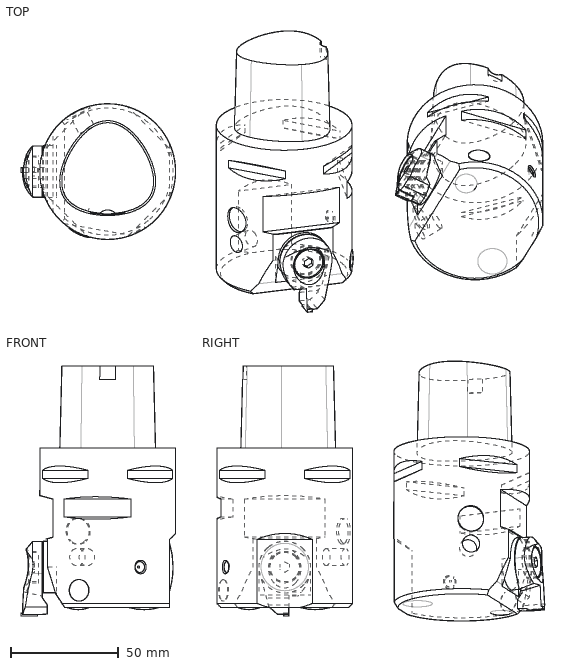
import cadquery as cq
import math


overcut = 1.0

body_dia = 63.0
body_radius = body_dia / 2
body_length = 74.05
bottom_chamfer = 2.0

shank_length = 38.0
shank_mean_radius = 22.0
shank_lobe = 1.6
shank_taper = 1 / 40
shank_sides = 6
notch_dia = 10.0
notch_centre_y = -22.8
notch_height = 6.3

groove_depth = 3.7
groove_floor_height = 3.75
groove_flank_rise = 2.0
groove_z = -12.25
groove_angles = (45, 135, 225, 315)

flat_wall_angle = 15.0
label_direction = 260.0
label_distance = 27.25
label_top = -23.75
label_bottom = -31.9
relief_distance = 25.4
relief_top = -23.75
relief_bottom = -41.35

tool_z = -55.2
seat_distance = 27.9
seat_top = -42.2
slope_start_z = tool_z
slope_end_x = -24.07
slope_end_z = -67.6
bevel_end_x = -19.9
seat_slot_x = -23.75
boss_dia = 24.0
boss_face_x = -29.85

dial_flat_x = 28.75
dial_ramp_z = -42.4
dial_dia = 22.0
dial_rise = 1.6

side_plug_dia = 10.0
side_plug_rise = 0.6
side_plug_direction = 245.0
side_plug_z = -66.0
side_hole_dia = 8.0
side_hole_depth = 10.0
side_hole_z = -50.6
cover_dia = 12.0
cover_depth = 1.6
cover_rise = 1.3
cover_z = -38.6
side_hole_direction = 116.7
screw_hole_dia = 6.25
screw_hole_bore_dia = 5.01
screw_hole_chamfer_depth = 0.65
screw_hole_bore_depth = 0.8
screw_hole_tip_dia = 1.0
screw_hole_depth = 1.9
screw_hole_direction = 299.0
screw_hole_z = tool_z
bottom_plug_rise = 0.95
bottom_plugs = (
    (-13.7, -16.6, 10.0),
    (16.8, 14.1, 13.6),
)

lever_dia = 23.84
lever_radius = lever_dia / 2
lever_gap = 0.35
lever_back_x = boss_face_x - lever_gap
lever_side_angle = 15.0
heel_radius = 18.1
heel_bottom_z = -68.7
heel_front_z = -66.9
heel_front_x = -38.0
edge_y = 1.86
lever_bottom_z = -77.2
lever_corner_y = -7.35
lever_corner_z = -73.6
lever_toe_y = -3.3
nose_radius = 22.0
nose_stations = (
    (-38.0, -40.0),
    (-38.0, -47.0),
    (-38.1, -54.0),
    (-38.8, -63.0),
    (-39.4, -73.0),
    (-39.6, -79.0),
)
crown_edge_x = -34.8
crown_face_x = -41.0
crown_slope = 40.0
foot_back_x = -27.9
foot_start_z = -69.5
foot_full_z = -72.8
clearance_angle = 5.0
overall_x = 71.73
overall_z = 116.0
tip_x = body_radius - overall_x
tip_inner_x = -32.5
tip_width = 2.4
tip_height = 1.4
tip_bottom_z = shank_length - overall_z
socket_dia = 14.6
socket_floor_x = -32.0
socket_flare_x = -36.6

screw_head_dia = 13.6
screw_face_x = -36.4
hex_flats = 4.2
hex_depth = 2.5


def box(x_range, y_range, z_range):
    """Box between two limits along each axis."""
    (x0, x1), (y0, y1), (z0, z1) = x_range, y_range, z_range
    return cq.Workplane("XY").box(x1 - x0, y1 - y0, z1 - z0, centered=False).translate((x0, y0, z0))


def radial(solid, direction, distance, z):
    """Turn a solid built along +Z so that it points away from the head axis, and place it."""
    return (
        solid.rotate((0, 0, 0), (0, 1, 0), 90)
        .translate((distance, 0, z))
        .rotate((0, 0, 0), (0, 0, 1), direction)
    )


def dome(diameter, rise):
    """Spherical cap standing on Z = 0."""
    radius = diameter / 2
    sphere_radius = (radius**2 + rise**2) / (2 * rise)
    sphere = cq.Workplane("XY").sphere(sphere_radius).translate((0, 0, rise - sphere_radius))
    return sphere.intersect(cq.Workplane("XY").circle(2 * sphere_radius).extrude(2 * rise))


def shank_wire(mean_radius, z):
    """Three-lobed shank outline with one lobe toward +Y, made of equal spans."""
    span = 2 * math.pi / shank_sides

    def point(t):
        x = mean_radius * math.cos(t) - shank_lobe * math.sin(2 * t)
        y = mean_radius * math.sin(t) - shank_lobe * math.cos(2 * t)
        return (x, y, z)

    edges = []
    for side in range(shank_sides):
        curve = cq.Workplane("XY").parametricCurve(point, start=side * span, stop=(side + 1) * span)
        edges.extend(curve.val().Edges())
    return cq.Wire.assembleEdges(edges)


def make_shank():
    bottom = shank_wire(shank_mean_radius, 0)
    top = shank_wire(shank_mean_radius - shank_taper * shank_length, shank_length)
    shank = cq.Workplane(cq.Solid.makeLoft([bottom, top], True))
    notch = (
        cq.Workplane("XY", origin=(0, notch_centre_y, shank_length - notch_height))
        .circle(notch_dia / 2)
        .extrude(2 * notch_height)
    )
    return shank.cut(notch)


def flared_cut(distance, z_bottom, z_top, flank_rise_per_depth, direction):
    """Straight cut across the body side: flat floor, walls flaring outward."""
    outer = body_radius + overcut
    flare = (outer - distance) * flank_rise_per_depth
    return (
        cq.Workplane("XZ")
        .moveTo(distance, z_bottom)
        .lineTo(outer, z_bottom - flare)
        .lineTo(outer, z_top + flare)
        .lineTo(distance, z_top)
        .close()
        .extrude(body_radius, both=True)
        .rotate((0, 0, 0), (0, 0, 1), direction)
    )


def gripper_grooves():
    half = groove_floor_height / 2
    flank = groove_flank_rise / groove_depth
    distance = body_radius - groove_depth
    return [flared_cut(distance, groove_z - half, groove_z + half, flank, a) for a in groove_angles]


def seat_cut():
    """Flat for the tool, followed by two slopes that run out at the bottom."""
    outer = -body_radius - overcut
    return (
        cq.Workplane("XZ")
        .moveTo(outer, seat_top)
        .lineTo(-seat_distance, seat_top)
        .lineTo(-seat_distance, slope_start_z)
        .lineTo(slope_end_x, slope_end_z)
        .lineTo(bevel_end_x, -body_length)
        .lineTo(outer, -body_length)
        .close()
        .extrude(body_radius, both=True)
    )


def dial_cut():
    """Flat on the +X side, reached by a 45 degree ramp."""
    outer = body_radius + overcut
    return (
        cq.Workplane("XZ")
        .moveTo(dial_flat_x, -body_length)
        .lineTo(outer, -body_length)
        .lineTo(outer, dial_ramp_z + outer - dial_flat_x)
        .lineTo(dial_flat_x, dial_ramp_z)
        .close()
        .extrude(body_radius, both=True)
    )


def screw_hole():
    """Chamfered hole with a conical end, opening along +Z at Z = 0."""
    mouth = screw_hole_dia / 2
    bore = screw_hole_bore_dia / 2
    return (
        cq.Workplane("XZ")
        .moveTo(0, overcut)
        .lineTo(mouth, overcut)
        .lineTo(mouth, -screw_hole_chamfer_depth + mouth - bore)
        .lineTo(bore, -screw_hole_chamfer_depth)
        .lineTo(bore, -screw_hole_bore_depth)
        .lineTo(screw_hole_tip_dia / 2, -screw_hole_depth)
        .lineTo(0, -screw_hole_depth)
        .close()
        .revolve(360, (0, 0, 0), (0, 1, 0))
    )


def round_cut(diameter, depth):
    """Cylinder reaching below Z = 0 by its depth, and just past it above."""
    return cq.Workplane("XY").workplane(offset=-depth).circle(diameter / 2).extrude(depth + overcut)


def side_plug():
    """Domed plug: its cylindrical stem reaches down past the curved body surface."""
    radius = side_plug_dia / 2
    stem = body_radius - math.sqrt(body_radius**2 - radius**2)
    return dome(side_plug_dia, side_plug_rise).union(cq.Workplane("XY").circle(radius).extrude(-2 * stem))


def make_holder():
    flank = math.tan(math.radians(flat_wall_angle))
    holder = (
        cq.Workplane("XY")
        .circle(body_radius)
        .extrude(-body_length)
        .faces("<Z")
        .chamfer(bottom_chamfer)
    )
    cuts = gripper_grooves() + [
        flared_cut(label_distance, label_bottom, label_top, flank, label_direction),
        flared_cut(relief_distance, relief_bottom, relief_top, flank, 180),
        seat_cut(),
        dial_cut(),
        box((-body_radius, seat_slot_x), (-boss_dia / 2, boss_dia / 2), (-body_length, tool_z)),
        radial(round_cut(side_hole_dia, side_hole_depth), side_hole_direction, body_radius, side_hole_z),
        radial(round_cut(cover_dia, cover_depth), side_hole_direction, body_radius, cover_z),
        radial(screw_hole(), screw_hole_direction, body_radius, screw_hole_z),
    ]
    for cut in cuts:
        holder = holder.cut(cut)

    boss = (
        cq.Workplane("YZ", origin=(boss_face_x, 0, tool_z))
        .circle(boss_dia / 2)
        .extrude(bevel_end_x - boss_face_x)
    )
    cover_floor = body_radius - cover_depth
    additions = [
        make_shank(),
        boss,
        radial(dome(dial_dia, dial_rise), 0, dial_flat_x, tool_z),
        radial(side_plug(), side_plug_direction, body_radius, side_plug_z),
        radial(dome(cover_dia, cover_rise), side_hole_direction, cover_floor, cover_z),
    ]
    for x, y, diameter in bottom_plugs:
        plug = dome(diameter, bottom_plug_rise).rotate((0, 0, 0), (1, 0, 0), 180)
        additions.append(plug.translate((x, y, -body_length)))
    for addition in additions:
        holder = holder.union(addition)
    return holder


def lever_outline():
    """Lever profile across X: round head, arced heel, blade and a straight leaning flank."""
    lean = math.radians(lever_side_angle)
    flank_y = -lever_radius * math.cos(lean)
    flank_z = tool_z - lever_radius * math.sin(lean)
    heel_centre_y = lever_radius - heel_radius
    heel_drop = tool_z - heel_bottom_z
    heel_end_y = heel_centre_y + math.sqrt(heel_radius**2 - heel_drop**2)
    half_sweep = math.asin(heel_drop / heel_radius) / 2
    heel_mid_y = heel_centre_y + heel_radius * math.cos(half_sweep)
    heel_mid_z = tool_z - heel_radius * math.sin(half_sweep)
    return (
        cq.Workplane("YZ")
        .moveTo(lever_radius, tool_z)
        .threePointArc((heel_mid_y, heel_mid_z), (heel_end_y, heel_bottom_z))
        .lineTo(edge_y, heel_bottom_z)
        .lineTo(edge_y, lever_bottom_z)
        .lineTo(lever_toe_y, lever_bottom_z)
        .lineTo(lever_corner_y, lever_corner_z)
        .lineTo(flank_y, flank_z)
        .threePointArc((0, tool_z + lever_radius), (lever_radius, tool_z))
        .close()
    )


def lever_nose():
    """Round bar whose -X side is the lever's outer face, leaning outward toward the tip."""
    rings = [
        cq.Wire.makeCircle(nose_radius, cq.Vector(x + nose_radius, 0, z), cq.Vector(0, 0, 1))
        for x, z in nose_stations
    ]
    return cq.Workplane(cq.Solid.makeLoft(rings, False))


def lever_side_profile():
    """Lever profile across Y: straight back, foot flaring toward +X, sloped bottom."""
    foot_bottom_z = lever_bottom_z + math.tan(math.radians(clearance_angle)) * (foot_back_x - lever_back_x)
    return (
        cq.Workplane("XZ")
        .moveTo(crown_face_x, tool_z + body_radius)
        .lineTo(lever_back_x, tool_z + body_radius)
        .lineTo(lever_back_x, foot_start_z)
        .lineTo(foot_back_x, foot_full_z)
        .lineTo(foot_back_x, foot_bottom_z)
        .lineTo(lever_back_x, lever_bottom_z)
        .lineTo(crown_face_x, lever_bottom_z)
        .close()
        .extrude(body_radius, both=True)
    )


def heel_cut():
    """Sloped underside of the heel, rising toward the outer face beside the cutting edge."""
    rise_per_x = (heel_front_z - heel_bottom_z) / (lever_back_x - heel_front_x)
    top_z = heel_bottom_z + rise_per_x * (lever_back_x - crown_face_x)
    return (
        cq.Workplane("XZ", origin=(0, edge_y, 0))
        .moveTo(lever_back_x, heel_bottom_z)
        .lineTo(crown_face_x, top_z)
        .lineTo(crown_face_x, heel_bottom_z)
        .close()
        .extrude(-lever_radius)
    )


def lever_crown():
    """Conical trim of the round head's upper half."""
    run = crown_edge_x - crown_face_x
    inner = lever_radius - run / math.tan(math.radians(crown_slope))
    outer = lever_radius + overcut
    cone = (
        cq.Workplane("XY")
        .moveTo(crown_edge_x, lever_radius)
        .lineTo(crown_edge_x, outer)
        .lineTo(crown_face_x, outer)
        .lineTo(crown_face_x, inner)
        .close()
        .revolve(360, (0, 0, 0), (1, 0, 0))
        .translate((0, 0, tool_z))
    )
    upper = box((crown_face_x, crown_edge_x), (-outer, outer), (tool_z, tool_z + outer))
    return cone.intersect(upper)


def lever_socket():
    """Screw socket that flares at 45 degrees toward the lever's outer face."""
    radius = socket_dia / 2
    return (
        cq.Workplane("XY")
        .moveTo(socket_floor_x, 0)
        .lineTo(socket_floor_x, radius)
        .lineTo(socket_flare_x, radius)
        .lineTo(crown_face_x, radius + socket_flare_x - crown_face_x)
        .lineTo(crown_face_x, 0)
        .close()
        .revolve(360, (0, 0, 0), (1, 0, 0))
        .translate((0, 0, tool_z))
    )


def make_lever():
    lever = (
        lever_outline()
        .extrude(foot_back_x - crown_face_x)
        .translate((crown_face_x, 0, 0))
        .intersect(lever_nose())
        .intersect(lever_side_profile())
        .cut(heel_cut())
        .cut(lever_crown())
        .cut(lever_socket())
    )
    tip = box(
        (tip_x, tip_inner_x),
        (edge_y - tip_width, edge_y),
        (tip_bottom_z, tip_bottom_z + tip_height),
    )
    return lever.union(tip)


def make_screw():
    head = (
        cq.Workplane("YZ", origin=(screw_face_x, 0, tool_z))
        .circle(screw_head_dia / 2)
        .extrude(socket_floor_x - screw_face_x)
    )
    hex_half_angle = 30.0
    hex_corner_dia = hex_flats / math.cos(math.radians(hex_half_angle))
    hex_socket = (
        cq.Workplane("YZ", origin=(screw_face_x, 0, tool_z))
        .transformed(rotate=(0, 0, hex_half_angle))
        .polygon(6, hex_corner_dia)
        .extrude(hex_depth)
    )
    return head.cut(hex_socket)


holder = make_holder()
lever = make_lever()
lever_screw = make_screw()

result = cq.Compound.makeCompound([holder.val(), lever.val(), lever_screw.val()])